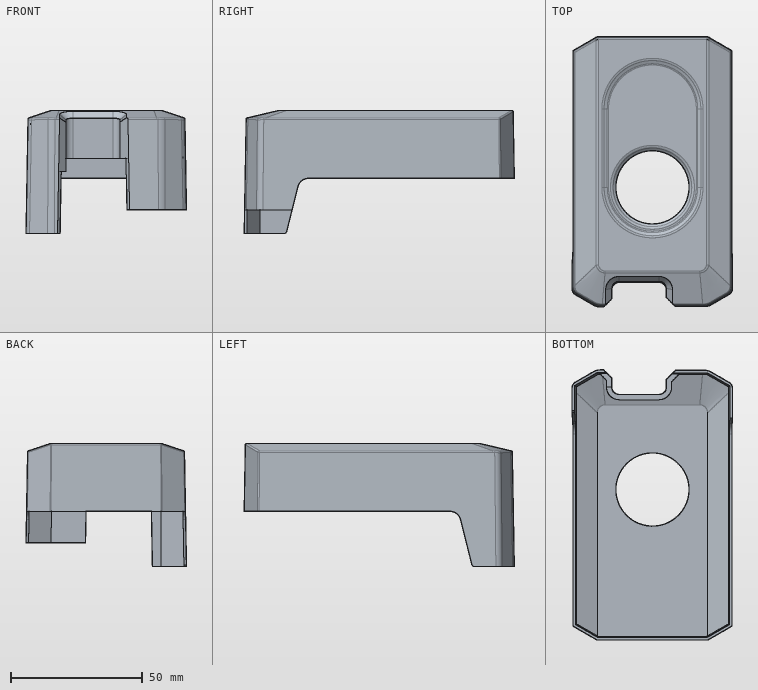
import cadquery as cq
import math

height = 47.0
half_width = 30.7
length = 103.0
front_y = -length / 2
skirt_z = 21.0
draft = 1.0
draft_slope = math.tan(math.radians(draft))
back_y = length / 2 + skirt_z * draft_slope
wall = 1.0
roof_thickness = 1.6

corner_x = 21.2
corner_angle = 30.0
corner_run = (half_width - corner_x) * math.tan(math.radians(corner_angle))
front_edge_radius = 5.2
front_side_radius = 2.8
back_edge_radius = 0.7

eave_z = 44.0
plateau_half_width = 21.0
plateau_front_y = -38.1
plateau_radius = 3.0
plateau_blend_radius = 3.1
eave_radius = 0.6
roof_overhang = 0.1
corner_side_easing = 2.1
corner_front_easing = 2.1
eave_inset = eave_z * draft_slope
eave_front_y = front_y + eave_inset
front_slope = math.degrees(math.atan((height - eave_z) / (plateau_front_y - eave_front_y)))

pocket_half_width = 18.9
pocket_front_y = -5.9
pocket_back_y = 24.0
pocket_depth = 0.6
pocket_wall_run = 1.9
pocket_rim_radius = 2.6
pocket_floor_radius = 1.5
hole_radius = 13.9
hole_top_radius = 15.5
hole_edge_radius = 1.9

leg_back_y = -35.4
leg_lean = 14.1
leg_root_radius = 4.1
leg_toe_bevel = 0.6
right_leg_z = 9.1

notch_left = -15.5
notch_right = 5.3
notch_back_y = -42.1
notch_radius = 2.8
flare_left_y = -48.3
flare_right_y = -47.8
lining_wall = 2.1
lining_z = 28.6
left_lining_z = 23.7
mouth_width = 2.4
mouth_depth = 2.1

margin = 5.2
pick = 0.5


def drafted_plan(inset):
    """Drafted block over the plan outline, moved inwards by inset."""
    half_plan = [
        (corner_x, front_y),
        (half_width, front_y + corner_run),
        (half_width, back_y - corner_run),
        (corner_x, back_y),
    ]
    mirrored = [(-x, y) for x, y in reversed(half_plan)]
    plan = cq.Workplane("XY").polyline(half_plan + mirrored).close()
    if inset:
        plan = plan.offset2D(-inset, "intersection")
    return plan.extrude(height, taper=draft)


def roof_limit(drop):
    """Space below the roof surface, lowered by drop; its edges reach past the walls."""
    low_z = eave_z - roof_overhang * (height - eave_z) - drop
    growth = 1 + roof_overhang
    side_run = (half_width - eave_inset - plateau_half_width) * growth
    front_run = (plateau_front_y - eave_front_y) * growth
    low_half = plateau_half_width + side_run
    low_front = plateau_front_y - front_run
    rear = back_y + margin
    low_side_y = low_front + corner_run
    low_edge_x = low_half - (half_width - corner_x)
    arc_y = plateau_front_y + plateau_radius
    arc_x = plateau_half_width - plateau_radius

    plateau = (
        cq.Workplane("XY", origin=(0, 0, height - drop))
        .moveTo(-plateau_half_width, rear)
        .lineTo(-plateau_half_width, arc_y)
        .radiusArc((-arc_x, plateau_front_y), -plateau_radius)
        .lineTo(arc_x, plateau_front_y)
        .radiusArc((plateau_half_width, arc_y), -plateau_radius)
        .lineTo(plateau_half_width, rear)
        .close().wire().val()
    )

    corner = [
        (low_half, low_side_y + corner_side_easing),
        (low_half, low_side_y),
        (low_edge_x, low_front),
        (low_edge_x - corner_front_easing, low_front),
    ]
    left_corner = [(-x, y) for x, y in corner]
    low = (
        cq.Workplane("XY", origin=(0, 0, low_z))
        .moveTo(-low_half, rear)
        .lineTo(*left_corner[0])
        .bezier(left_corner[1:], includeCurrent=True)
        .lineTo(*corner[3])
        .bezier(corner[2::-1], includeCurrent=True)
        .lineTo(low_half, rear)
        .close().wire().val()
    )
    roof = cq.Workplane(cq.Solid.makeLoft([low, plateau], True))
    block = cq.Workplane("XY").box(4 * half_width, 4 * back_y, low_z, (True, True, False))
    return block.union(roof)


def eave_edges(body):
    """Edges between the roof and the walls, including the top of the back wall."""
    found = []
    for edge in body.edges().vals():
        center = edge.Center()
        level = edge.BoundingBox().zlen < pick
        at_eave = level and abs(center.z - eave_z) < pick
        at_back = center.z > eave_z and center.y > back_y - corner_run
        if at_eave or at_back:
            found.append(edge)
    return found


def outer_body():
    """Solid block with rounded corners, sloped roof and softened roof edges."""
    body = drafted_plan(0)
    rounded = (
        (corner_x, front_y, front_edge_radius),
        (half_width, front_y + corner_run, front_side_radius),
        (corner_x, back_y, back_edge_radius),
        (half_width, back_y - corner_run, back_edge_radius),
    )
    for x, y, radius in rounded:
        for side in (-1, 1):
            near = cq.selectors.BoxSelector(
                (side * x - 2 * pick, y - 2 * pick, pick), (side * x + 2 * pick, y + 2 * pick, height - pick))
            body = body.edges(near).edges("not #Z").fillet(radius)
    body = body.intersect(roof_limit(0))
    plateau_edges = cq.selectors.BoxSelector(
        (-half_width, plateau_front_y - pick, height - pick),
        (half_width, back_y - corner_run, height + pick))
    body = body.edges(plateau_edges).fillet(plateau_blend_radius)
    return body.newObject(eave_edges(body)).fillet(eave_radius)


def cavity():
    """Hollow inside, open at the bottom."""
    return drafted_plan(wall).intersect(roof_limit(roof_thickness))


def cut_pocket(body):
    """Shallow slot-shaped pocket with sloping walls and rounded rim and floor edges."""
    slot_length = pocket_back_y - pocket_front_y + 2 * pocket_half_width
    middle_y = (pocket_back_y + pocket_front_y) / 2
    wall_angle = math.degrees(math.atan(pocket_wall_run / pocket_depth))
    pocket = (
        cq.Workplane("XY", origin=(0, middle_y, height))
        .slot2D(slot_length, 2 * pocket_half_width, 90)
        .extrude(-pocket_depth, taper=wall_angle)
    )
    body = body.cut(pocket)
    reach = pocket_half_width + pick
    half_depth = pocket_depth / 2
    for z, radius in ((height, pocket_rim_radius), (height - pocket_depth, pocket_floor_radius)):
        rim = cq.selectors.BoxSelector(
            (-reach, pocket_front_y - reach, z - half_depth),
            (reach, pocket_back_y + reach, z + half_depth))
        body = body.edges(rim).fillet(radius)
    return body


def cut_hole(body):
    """Conical hole through the pocket floor with a rounded upper edge."""
    floor_z = height - pocket_depth
    ceiling_z = height - roof_thickness
    hole = (
        cq.Workplane("XY", origin=(0, pocket_front_y, floor_z)).circle(hole_top_radius)
        .workplane(offset=ceiling_z - floor_z).circle(hole_radius).loft(ruled=True)
    )
    body = body.cut(hole)
    reach = hole_top_radius + pick
    rim = cq.selectors.BoxSelector(
        (-pick, pocket_front_y - reach, floor_z - pick),
        (pick, pocket_front_y + reach, floor_z + pick))
    return body.edges(rim).edges("%CIRCLE").fillet(hole_edge_radius)


def side_profile_cut():
    """Space below the skirt and behind the legs."""
    rear = back_y + margin
    lean = math.tan(math.radians(leg_lean))
    root_y = leg_back_y + skirt_z * lean
    toe_y = leg_back_y + leg_toe_bevel * lean
    low_y = toe_y - leg_toe_bevel
    space = (
        cq.Workplane("YZ", origin=(-2 * half_width, 0, 0))
        .polyline([
            (low_y, -margin), (low_y, 0), (toe_y, leg_toe_bevel),
            (root_y, skirt_z), (rear, skirt_z), (rear, -margin)])
        .close().extrude(4 * half_width)
    )
    root = cq.selectors.NearestToPointSelector((0, root_y, skirt_z))
    return space.edges(root).fillet(leg_root_radius)


def notch_plan(offset):
    """Outline of the notch, widened by offset, spreading towards the front."""
    open_y = front_y - margin
    open_left = notch_left - (flare_left_y - open_y)
    open_right = notch_right + (flare_right_y - open_y)
    outline = (
        cq.Workplane("XY")
        .polyline([
            (notch_left, notch_back_y), (notch_right, notch_back_y), (notch_right, flare_right_y),
            (open_right, open_y), (open_left, open_y), (notch_left, flare_left_y)])
        .close()
    )
    if offset:
        outline = outline.offset2D(offset, "intersection")
    solid = outline.extrude(height + margin)
    return solid.edges("|Z and >Y").fillet(notch_radius + offset)


def mouth_outline(plane, offset):
    """Straight-sided notch outline, widened by offset, on a plane parallel to the front slope."""
    left = notch_left - offset
    right = notch_right + offset
    radius = notch_radius + offset
    front = front_y - margin - notch_back_y
    return (
        cq.Workplane(plane)
        .moveTo(left, front)
        .lineTo(left, offset - radius)
        .radiusArc((left + radius, offset), radius)
        .lineTo(right - radius, offset)
        .radiusArc((right, offset - radius), radius)
        .lineTo(right, front)
        .close().wire().val()
    )


def notch_mouth():
    """Bevelled rim of the notch, square to the sloping front of the roof."""
    angle = math.radians(front_slope)
    normal = cq.Vector(0, -math.sin(angle), math.cos(angle))
    surface_z = height - (plateau_front_y - notch_back_y) * math.tan(angle)
    surface = cq.Vector(0, notch_back_y, surface_z)
    wires = []
    for level in (-mouth_depth, mouth_depth):
        plane = cq.Plane(surface + normal * level, (1, 0, 0), normal)
        wires.append(mouth_outline(plane, mouth_width * (1 + level / mouth_depth)))
    return cq.Workplane(cq.Solid.makeLoft(wires, True))


def lining(body):
    """Wall around the notch; it hangs lower along the left side."""
    full = notch_plan(lining_wall).intersect(body)
    upper = (
        cq.Workplane("XY", origin=(0, 0, lining_z))
        .rect(4 * half_width, 4 * back_y).extrude(height)
    )
    corner = (notch_left, notch_back_y - notch_radius)
    left = (
        cq.Workplane("XY", origin=(0, 0, left_lining_z))
        .moveTo(*corner).hLine(-half_width).vLine(-half_width).hLine(half_width)
        .close().extrude(height)
    )
    return full.intersect(upper.union(left))


def right_leg_cut():
    """Space below the shorter leg on the +X side."""
    return (
        cq.Workplane("XY", origin=(0, 0, right_leg_z))
        .moveTo(0, -2 * back_y).hLine(2 * half_width).vLine(4 * back_y).hLine(-2 * half_width)
        .close().extrude(-2 * right_leg_z)
    )


shell = outer_body()
notch_lining = lining(shell)
shell = shell.cut(cavity()).union(notch_lining)
shell = shell.cut(notch_plan(0)).cut(notch_mouth())
shell = shell.cut(side_profile_cut()).cut(right_leg_cut())
result = cut_hole(cut_pocket(shell))